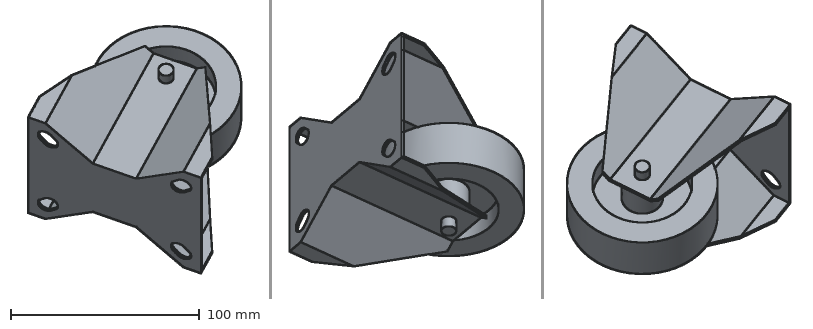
import cadquery as cq
import math

wheel_radius = 40.0
wheel_width = 27.0
recess_radius = 26.5
web_thickness = 3.0
hub_radius = 11.0
hub_length = 39.0
axle_radius = 4.0
axle_length = 55.9
axle_y = 108.0 - wheel_radius

sheet = 1.5
plate_width = 100.0
plate_height = 84.0
leg_length = 80.0
leg_tip_width = 35.0
leg_straight_length = 15.0
outer_bend_x = 40.0
inner_bend_x = 12.5
channel_height = 42.5

slot_width = 9.0
slot_center_distance = 3.8
slot_x = 38.6
slot_z = 28.5
slot_angle = 45.0

half_width = plate_width / 2
half_height = plate_height / 2
half_channel = channel_height / 2


def mirrored_in_x(points):
    """Right-hand points followed by their mirror images, in outline order."""
    return points + [(-x, v) for x, v in reversed(points)]


outer_surface = [
    (half_width, half_height),
    (outer_bend_x, half_height),
    (inner_bend_x, half_channel),
]


def make_plate():
    upper_edge = mirrored_in_x(outer_surface)
    lower_edge = [(x, -z) for x, z in reversed(upper_edge)]
    return cq.Workplane("XZ").polyline(upper_edge + lower_edge).close().extrude(-sheet)


def make_upper_leg():
    """Folded strip of constant thickness, with its sides tapered toward the tip."""
    slope_angle = math.atan2(half_height - half_channel, outer_bend_x - inner_bend_x)
    bend_shift = sheet * math.tan(slope_angle / 2)
    inner_surface = [
        (half_width, half_height - sheet),
        (outer_bend_x + bend_shift, half_height - sheet),
        (inner_bend_x + bend_shift, half_channel - sheet),
    ]
    upper_line = mirrored_in_x(outer_surface)
    lower_line = mirrored_in_x(inner_surface)
    strip = (
        cq.Workplane("XZ")
        .polyline(upper_line + lower_line[::-1])
        .close()
        .extrude(-leg_length)
    )
    side_outline = mirrored_in_x([
        (half_width, 0),
        (half_width, leg_straight_length),
        (leg_tip_width / 2, leg_length),
    ])
    taper = cq.Workplane("XY").polyline(side_outline).close().extrude(plate_height)
    return strip.intersect(taper)


def make_slots():
    """Cutters for the four slots, each slanted toward the middle of the plate."""
    slots = cq.Workplane("XZ")
    for side_x in (-1, 1):
        for side_z in (-1, 1):
            slot = (
                cq.Workplane("XZ")
                .center(side_x * slot_x, side_z * slot_z)
                .slot2D(slot_center_distance + slot_width, slot_width, side_x * side_z * slot_angle)
                .extrude(-sheet)
            )
            slots = slots.add(slot)
    return slots.combine()


def centered_cylinder(radius, length):
    """Cylinder on the axle line, centered on Z = 0."""
    return cq.Workplane("XY", origin=(0, axle_y, -length / 2)).circle(radius).extrude(length)


def make_fork():
    upper_leg = make_upper_leg()
    lower_leg = upper_leg.mirror("XY")
    fork = make_plate().union(upper_leg).union(lower_leg)
    return fork.cut(make_slots()).cut(centered_cylinder(axle_radius, plate_height))


def make_wheel():
    """Rim, thin web, hub and axle turned as one solid."""
    rim = centered_cylinder(wheel_radius, wheel_width).cut(centered_cylinder(recess_radius, wheel_width))
    web = centered_cylinder(recess_radius, web_thickness)
    hub = centered_cylinder(hub_radius, hub_length)
    axle = centered_cylinder(axle_radius, axle_length)
    return rim.union(web).union(hub).union(axle)


fork = make_fork()
wheel = make_wheel()

result = cq.Compound.makeCompound([fork.solids().val(), wheel.solids().val()])